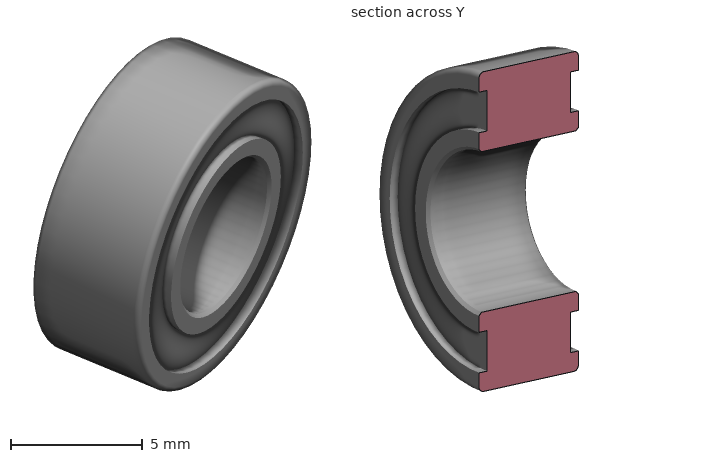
import cadquery as cq

BORE_DIAMETER = 6.35
OUTER_DIAMETER = 12.7
WIDTH = 4.7625
INNER_RING_DIAMETER = 7.9375
OUTER_RING_DIAMETER = 11.1125
SHIELD_RECESS = 0.381
RIM_FILLET = 0.238
BORE_CHAMFER = 0.127


def cylinder(diameter, length, start_x):
    """Cylinder along +X, beginning at start_x."""
    return cq.Workplane("YZ", origin=(start_x, 0, 0)).circle(diameter / 2).extrude(length)


def make_rings():
    """Full-width body with rounded rims and a chamfered through bore."""
    body = cylinder(OUTER_DIAMETER, WIDTH, -WIDTH / 2)
    body = body.faces("<X or >X").edges().fillet(RIM_FILLET)
    body = body.cut(cylinder(BORE_DIAMETER, WIDTH, -WIDTH / 2))
    bore_edges = body.faces("<X or >X").edges(cq.selectors.RadiusNthSelector(0))
    return bore_edges.chamfer(BORE_CHAMFER)


def shield_groove(start_x):
    """Annular space between the inner and outer ring faces."""
    outer = cylinder(OUTER_RING_DIAMETER, SHIELD_RECESS, start_x)
    inner = cylinder(INNER_RING_DIAMETER, SHIELD_RECESS, start_x)
    return outer.cut(inner)


result = make_rings()
for groove_start in (-WIDTH / 2, WIDTH / 2 - SHIELD_RECESS):
    result = result.cut(shield_groove(groove_start))